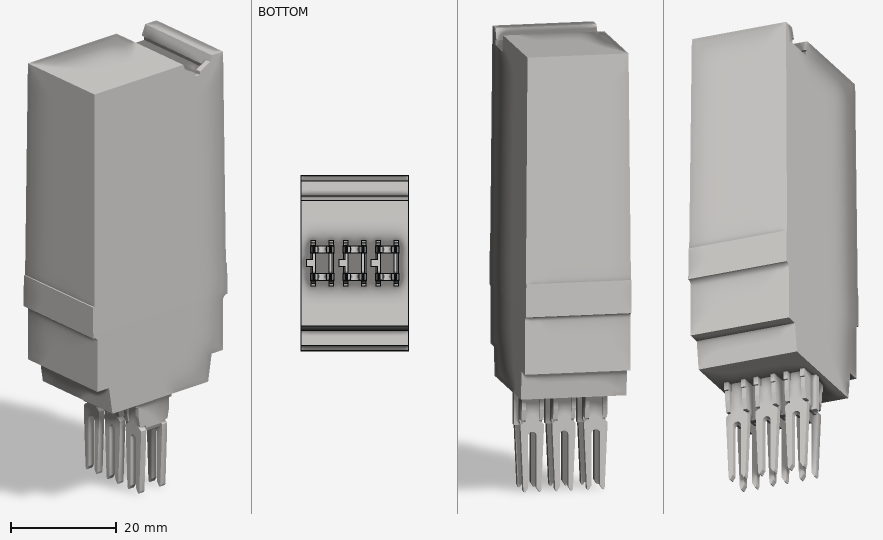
import cadquery as cq
import math

width = 20.4
total_height = 86.4
cover_bottom_z = 37.15
draft = math.tan(math.radians(0.5))
band_half_depth = 16.6
band_bottom_z = 36.5
band_top_z = 42.85
cover_half_depth = 16.3
cove_radius = 0.9
base_half_depth = 15.55
base_bottom_z = 25.2
foot_top_half_depth = 12.7
foot_bottom_half_depth = 11.8
foot_bottom_z = 19.7

groove_y = 9.6
groove_mouth_half = 3.5
groove_lip_half = 2.7
groove_lip_z = 84.2
groove_floor_half = 3.3
groove_floor_z = 83.2

wedge_length = 1.1
wedge_outer_z = 85.2
wedge_inner_z = 83.9
wedge_half_gap = 0.6

terminal_count = 3
terminal_pitch = 6.1
plate_thickness = 1.3
fork_y = 2.6

fork_half_width = 2.25
shoulder_half_width = 1.6
shoulder_z = 13.6
shoulder_bottom_z = 13.05
fork_taper_z = 12.1
slot_half_width = 0.82
slot_top_z = 11.7
tip_outer_half = 1.7
tip_point_half = 1.55
tip_inner_half = 1.4
tip_outer_z = 0.4
tip_inner_z = 0.9
neck_half_width = 1.3
root_half_width = 1.0
root_z = 18.15

cheek_half_width = 2.2
cheek_root_half_depth = 4.3
cheek_half_depth = 3.8
cheek_taper_z = 16.1
cheek_bottom_half_depth = 3.4
cheek_bottom_z = 13.9
tongue_bottom_z = 12.6
tongue_chamfer_height = 0.8
tongue_chamfer_depth = 0.35
tab_reach = 3.0


def mirrored_profile(plane, points):
    """Closed outline from points on the positive half and their mirror image."""
    other_half = [(-u, v) for u, v in reversed(points)]
    return cq.Workplane(plane).polyline(points + other_half).close()


def make_cover():
    """Drafted upper body with a straight band on its front and back and a groove in its top."""
    cover_height = total_height - cover_bottom_z
    top_half_depth = cover_half_depth - draft * cover_height
    band_joint_half_depth = cover_half_depth - draft * (band_top_z - cover_bottom_z)
    side_outline = [
        (band_half_depth, cover_bottom_z),
        (band_half_depth, band_top_z),
        (band_joint_half_depth, band_top_z),
        (top_half_depth, total_height),
    ]
    cover = mirrored_profile("YZ", side_outline).extrude(width / 2, both=True)

    top_half_width = width / 2 - draft * cover_height
    front_outline = [(width / 2, cover_bottom_z), (top_half_width, total_height)]
    drafted_sides = mirrored_profile("XZ", front_outline).extrude(band_half_depth, both=True)

    groove_outline = [
        (groove_floor_half, groove_floor_z),
        (groove_floor_half, groove_lip_z),
        (groove_lip_half, groove_lip_z),
        (groove_mouth_half, total_height),
    ]
    groove = mirrored_profile("YZ", groove_outline).extrude(width / 2, both=True)
    groove = groove.translate((0, groove_y, 0))
    return cover.cut(groove).union(make_wedges(top_half_width)).intersect(drafted_sides)


def make_wedges(top_half_width):
    """Wedges reach past the drafted side and are trimmed with it."""
    lip_slope = (groove_mouth_half - groove_lip_half) / (total_height - groove_lip_z)
    outer_half = groove_lip_half + lip_slope * (wedge_outer_z - groove_lip_z)
    outline = [
        (wedge_half_gap, groove_floor_z),
        (groove_floor_half, groove_floor_z),
        (groove_floor_half, groove_lip_z),
        (groove_lip_half, groove_lip_z),
        (outer_half, wedge_outer_z),
        (wedge_half_gap, wedge_inner_z),
    ]
    inner_x = top_half_width - wedge_length
    wedge_plane = cq.Workplane("YZ", origin=(inner_x, 0, 0))
    wedge = wedge_plane.polyline(outline).close().extrude(width / 2 - inner_x)
    return wedge.union(wedge.mirror("XZ")).translate((0, groove_y, 0))


def make_base():
    """Lower body: end of the band, cove, straight walls and tapered foot."""
    cove_bottom_z = band_bottom_z - cove_radius
    cove_edge = base_half_depth + cove_radius
    cove_mid_y = cove_edge - cove_radius * math.sin(math.radians(45))
    cove_mid_z = cove_bottom_z + cove_radius * math.sin(math.radians(45))
    outline = (
        cq.Workplane("YZ")
        .moveTo(0, cover_bottom_z)
        .lineTo(band_half_depth, cover_bottom_z)
        .lineTo(band_half_depth, band_bottom_z)
        .lineTo(cove_edge, band_bottom_z)
        .threePointArc((cove_mid_y, cove_mid_z), (base_half_depth, cove_bottom_z))
        .lineTo(base_half_depth, base_bottom_z)
        .lineTo(foot_top_half_depth, base_bottom_z)
        .lineTo(foot_bottom_half_depth, foot_bottom_z)
        .lineTo(0, foot_bottom_z)
        .close()
    )
    half = outline.extrude(width / 2, both=True)
    return half.union(half.mirror("XZ"))


def make_fork():
    """Plate facing front and back, split into two tapered prongs by a round-ended slot."""
    slot_spring_z = slot_top_z - slot_half_width
    outline = [
        (root_half_width, foot_bottom_z),
        (root_half_width, root_z),
        (neck_half_width, root_z),
        (neck_half_width, shoulder_z),
        (shoulder_half_width, shoulder_z),
        (fork_half_width, shoulder_bottom_z),
        (fork_half_width, fork_taper_z),
        (tip_outer_half, tip_outer_z),
        (tip_point_half, 0),
        (tip_inner_half, 0),
        (slot_half_width, tip_inner_z),
        (slot_half_width, slot_spring_z),
    ]
    fork = (
        cq.Workplane("XZ")
        .polyline(outline)
        .threePointArc((0, slot_top_z), (-slot_half_width, slot_spring_z))
        .polyline([(-x, z) for x, z in reversed(outline)])
        .close()
    )
    return fork.extrude(plate_thickness / 2, both=True)


def make_cheek():
    """Side plate on -X, with its beveled tongue between the forks."""
    tongue_half_depth = fork_y - plate_thickness / 2
    outline = [
        (cheek_root_half_depth, foot_bottom_z),
        (cheek_root_half_depth, root_z),
        (cheek_half_depth, root_z),
        (cheek_half_depth, cheek_taper_z),
        (cheek_bottom_half_depth, cheek_bottom_z),
        (tongue_half_depth, cheek_bottom_z),
        (tongue_half_depth, tongue_bottom_z),
    ]
    cheek = mirrored_profile("YZ", outline).extrude(cheek_half_width - neck_half_width)
    cheek = cheek.translate((-cheek_half_width, 0, 0))
    bevel = (
        cq.Workplane("XZ")
        .moveTo(-cheek_half_width, tongue_bottom_z)
        .lineTo(-cheek_half_width, tongue_bottom_z + tongue_chamfer_height)
        .lineTo(-cheek_half_width + tongue_chamfer_depth, tongue_bottom_z)
        .close()
        .extrude(tongue_half_depth, both=True)
    )
    return cheek.cut(bevel)


def make_terminal():
    """Two forks and two cheeks, with a tab on the -X cheek."""
    fork = make_fork()
    cheek = make_cheek()
    tab = cq.Workplane("XY").box(
        tab_reach - neck_half_width,
        plate_thickness,
        foot_bottom_z - tongue_bottom_z,
        centered=(False, True, False),
    )
    terminal = cheek.union(cheek.mirror("YZ"))
    terminal = terminal.union(tab.translate((-tab_reach, 0, tongue_bottom_z)))
    for y in (-fork_y, fork_y):
        terminal = terminal.union(fork.translate((0, y, 0)))
    return terminal


result = make_cover().union(make_base())
terminal = make_terminal()
for index in range(terminal_count):
    x = (index - (terminal_count - 1) / 2) * terminal_pitch
    result = result.union(terminal.translate((x, 0, 0)))